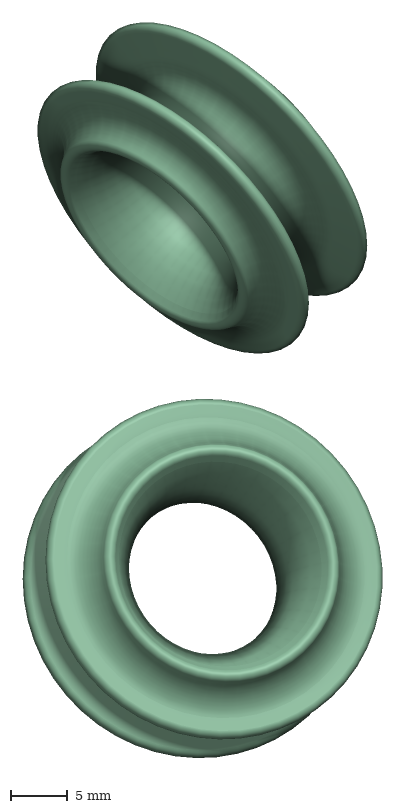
import cadquery as cq
import math

outer_radius = 15.25
half_width = 6.98
edge_round = 0.6
flange_outer_face = 4.65
groove_floor_radius = 9.2
groove_arc = 3.0
cove_arc = 3.0
cove_start_radius = 13.48
bore_radius = 6.98
flare_angle = math.radians(39)

rim_center = (outer_radius - edge_round, flange_outer_face - edge_round)
groove_center = (groove_floor_radius + groove_arc, 0)
cove_center = (cove_start_radius, flange_outer_face + cove_arc)
lip_axial = half_width - edge_round
lip_reach = math.sqrt((cove_arc + edge_round) ** 2 - (cove_center[1] - lip_axial) ** 2)
lip_center = (cove_start_radius - lip_reach, lip_axial)


def on_arc(center, radius, angle):
    """Point on an arc; the angle is measured from the radial direction towards +Y."""
    return (center[0] + radius * math.cos(angle), center[1] + radius * math.sin(angle))


def mirrored(point):
    return (point[0], -point[1])


rim_dr = rim_center[0] - groove_center[0]
rim_dy = rim_center[1] - groove_center[1]
flank_normal = math.atan2(rim_dy, rim_dr) + math.acos(
    (groove_arc + edge_round) / math.hypot(rim_dr, rim_dy)
)
flank_inner = on_arc(groove_center, groove_arc, flank_normal)
flank_outer = on_arc(rim_center, edge_round, flank_normal + math.pi)
groove_floor = (groove_floor_radius, 0)

rim_tip = (outer_radius, rim_center[1])
face_outer = (rim_center[0], flange_outer_face)
face_inner = (cove_start_radius, flange_outer_face)

cove_angle = math.atan2(lip_center[1] - cove_center[1], lip_center[0] - cove_center[0])
cove_end = on_arc(cove_center, cove_arc, cove_angle)
cove_mid = on_arc(cove_center, cove_arc, (cove_angle % math.tau + 1.5 * math.pi) / 2)
lip_top = (lip_center[0], half_width)
lip_end = on_arc(lip_center, edge_round, math.pi - flare_angle)

bore_arc = (
    lip_end[1] * math.sin(flare_angle) - (lip_end[0] - bore_radius) * math.cos(flare_angle)
) / (1 - math.cos(flare_angle))
bore_center = (bore_radius + bore_arc, 0)
bore_end = on_arc(bore_center, bore_arc, math.pi - flare_angle)
bore_throat = (bore_radius, 0)

profile = (
    cq.Workplane("XY")
    .moveTo(*mirrored(flank_inner))
    .threePointArc(groove_floor, flank_inner)
    .lineTo(*flank_outer)
    .threePointArc(rim_tip, face_outer)
    .lineTo(*face_inner)
    .threePointArc(cove_mid, cove_end)
    .threePointArc(lip_top, lip_end)
    .lineTo(*bore_end)
    .threePointArc(bore_throat, mirrored(bore_end))
    .lineTo(*mirrored(lip_end))
    .threePointArc(mirrored(lip_top), mirrored(cove_end))
    .threePointArc(mirrored(cove_mid), mirrored(face_inner))
    .lineTo(*mirrored(face_outer))
    .threePointArc(mirrored(rim_tip), mirrored(flank_outer))
    .close()
)

result = profile.revolve(360, (0, 0, 0), (0, 1, 0))